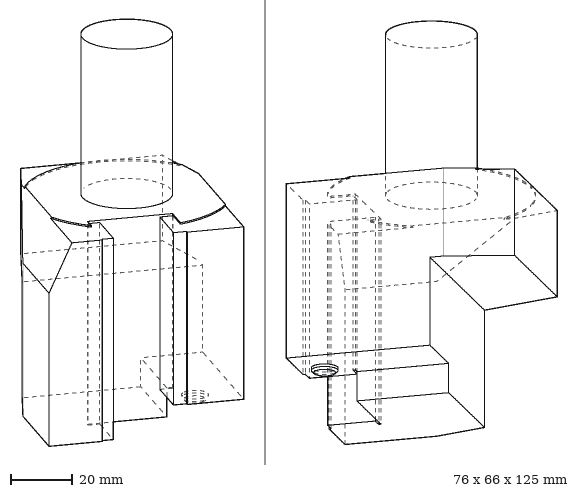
import cadquery as cq
import math

total_height = 125.0
shank_radius = 15.0
seat_height = 70.0
seat_radius = 34.0
seat_thickness = 0.5

left_x = -35.0
right_x = 41.0
back_y = 28.0
front_y = -38.0
left_back_y = 22.0
left_front_y = -26.0
taper_angle = 15.0

shoulder_x = -8.0
shoulder_z = 40.0
heel_y = 7.0
heel_height = 10.0
slope_top_y = -30.0
slope_angle = 25.0

slot_x = 23.2
slot_back_y = 8.9
slot_front_y = -19.9
jaw_start_x = 24.0
jaw_end_x = 40.2
jaw_back_y = 4.4
jaw_front_y = -16.0

screw_y = 14.0
screw_radius = 4.4
screw_length = 1.6
screw_chamfer = 0.8

body_height = seat_height - seat_thickness


def block(x_range, y_range, z_range):
    """Box between the given limits on each axis."""
    lows, highs = zip(x_range, y_range, z_range)
    sizes = [high - low for low, high in zip(lows, highs)]
    return cq.Workplane("XY").box(*sizes, centered=False).translate(lows)


def tapered_outline(height):
    """Body outline, narrowing toward its left end, raised to a height."""
    taper = math.tan(math.radians(taper_angle))
    back_taper_x = left_x + (back_y - left_back_y) / taper
    front_taper_x = left_x + (left_front_y - front_y) / taper
    points = [
        (left_x, left_front_y),
        (front_taper_x, front_y),
        (right_x, front_y),
        (right_x, back_y),
        (back_taper_x, back_y),
        (left_x, left_back_y),
    ]
    return cq.Workplane("XY").polyline(points).close().extrude(height)


def front_slope():
    """Wedge that bevels the top front edge of the body and disc."""
    slope_drop = (slope_top_y - front_y) / math.tan(math.radians(slope_angle))
    points = [
        (slope_top_y, seat_height),
        (front_y, seat_height),
        (front_y, seat_height - slope_drop),
    ]
    return (
        cq.Workplane("YZ", origin=(left_x, 0, 0))
        .polyline(points).close().extrude(right_x - left_x)
    )


def jaw_strips():
    """Strips on the slot walls, set back from the slot floor and body end."""
    back = block((jaw_start_x, jaw_end_x), (jaw_back_y, slot_back_y), (heel_height, body_height))
    front = block((jaw_start_x, jaw_end_x), (slot_front_y, jaw_front_y), (0, body_height))
    return back.union(front)


def screw_end():
    """Chamfered screw end hanging below the raised heel, midway along the jaws."""
    screw_x = (jaw_start_x + jaw_end_x) / 2
    return (
        cq.Workplane("XY", origin=(screw_x, screw_y, heel_height))
        .circle(screw_radius).extrude(-screw_length)
        .faces("<Z").chamfer(screw_chamfer)
    )


seat = cq.Workplane("XY").circle(seat_radius).extrude(seat_height)
body = tapered_outline(body_height).union(tapered_outline(seat_height).intersect(seat))

body = body.cut(block((left_x, shoulder_x), (front_y, back_y), (0, shoulder_z)))
body = body.cut(block((left_x, right_x), (heel_y, back_y), (0, heel_height)))
body = body.cut(front_slope())
body = body.cut(block((slot_x, right_x), (slot_front_y, slot_back_y), (0, seat_height)))

shank = (
    cq.Workplane("XY", origin=(0, 0, seat_height))
    .circle(shank_radius).extrude(total_height - seat_height)
)

result = body.union(jaw_strips()).union(screw_end()).union(shank)